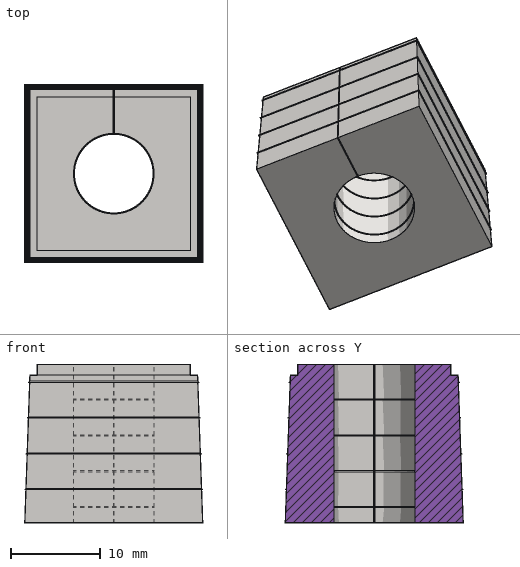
import cadquery as cq
import math

BASE_WIDTH = 19.91
HEIGHT = 17.7

TAPER_ANGLE = 2.0
BODY_TOP = 16.5
PLATE_WIDTH = 17.13

RIB_PITCH = 4.0
RIB_HEIGHT = 0.12
RIB_PROJECTION = 0.1
TOP_RIB_BASE = 15.708
OUTER_RIB_COUNT = 4

BORE_DIAMETER = 9.0
BORE_RIB_COUNT = 4
BORE_RIB_SHIFT = RIB_PITCH / 2

SLIT_WIDTH = 0.1


def body_width(z):
    """Width of the tapered body at height z."""
    return BASE_WIDTH - 2 * z * math.tan(math.radians(TAPER_ANGLE))


def square_frustum(bottom_z, bottom_width, top_z, top_width):
    """Square block whose width runs from bottom_width to top_width."""
    return (
        cq.Workplane("XY", origin=(0, 0, bottom_z))
        .rect(bottom_width, bottom_width)
        .workplane(offset=top_z - bottom_z)
        .rect(top_width, top_width)
        .loft(ruled=True)
    )


def make_block():
    """Tapered body with the top plate."""
    body = square_frustum(0, BASE_WIDTH, BODY_TOP, body_width(BODY_TOP))
    plate = square_frustum(BODY_TOP, PLATE_WIDTH, HEIGHT, PLATE_WIDTH)
    return body.union(plate)


def outer_rib(base_z):
    """Rib around the body, widest at its underside."""
    top_z = base_z + RIB_HEIGHT
    base_width = body_width(base_z) + 2 * RIB_PROJECTION
    return square_frustum(base_z, base_width, top_z, body_width(top_z))


def bore_rib(base_z):
    """Ring on the bore wall, narrowest at its underside."""
    radius = BORE_DIAMETER / 2
    profile = [
        (radius, base_z),
        (radius - RIB_PROJECTION, base_z),
        (radius, base_z + RIB_HEIGHT),
    ]
    return cq.Workplane("XZ").polyline(profile).close().revolve(360, (0, 0, 0), (0, 1, 0))


def make_bore():
    """Cutter for the through bore, with the ribs left standing."""
    bore = cq.Workplane("XY").circle(BORE_DIAMETER / 2).extrude(HEIGHT)
    for i in range(BORE_RIB_COUNT):
        bore = bore.cut(bore_rib(TOP_RIB_BASE - BORE_RIB_SHIFT - i * RIB_PITCH))
    return bore


def make_slit():
    """Cutter for the full-height slit from the bore axis through the +Y side."""
    return cq.Workplane("XY").box(SLIT_WIDTH, BASE_WIDTH, HEIGHT, centered=(True, False, False))


result = make_block()
for i in range(OUTER_RIB_COUNT):
    result = result.union(outer_rib(TOP_RIB_BASE - i * RIB_PITCH))
result = result.cut(make_bore()).cut(make_slit())